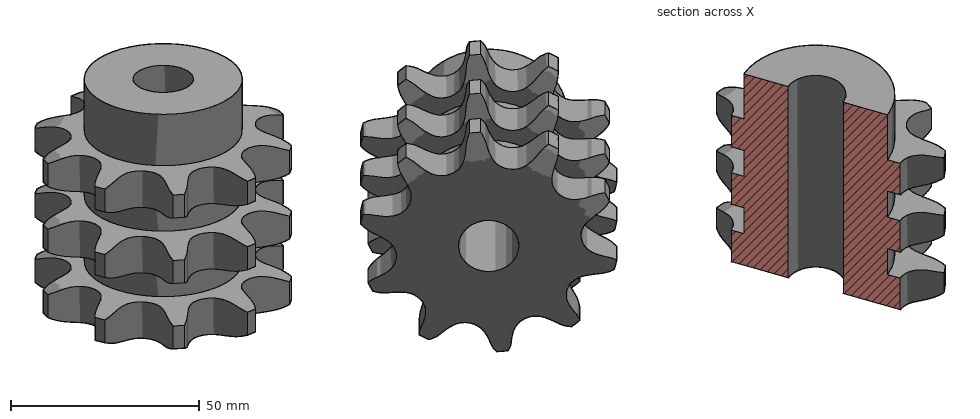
import cadquery as cq
import math

tooth_count = 10
chain_pitch = 19.05
roller_diameter = 12.1
outside_diameter = 69.0

strand_count = 3
strand_spacing = 19.45
strand_thickness = 10.8
hub_diameter = 42.0
hub_length = 65.0
bore_diameter = 16.0

side_round_drop = 2.0
side_round_width = 8.55

outside_radius = outside_diameter / 2
tooth_angle = 360 / tooth_count
pitch_radius = chain_pitch / 2 / math.sin(math.radians(tooth_angle / 2))

seat_clearance = 0.1
seat_radius = roller_diameter / 2 + seat_clearance
seat_angle = math.radians(35 + 60 / tooth_count)
working_angle = math.radians(18 - 56 / tooth_count)
straight_angle = math.radians(17 - 64 / tooth_count)
working_center_distance = 0.8 * roller_diameter
topping_center_distance = 1.4 * roller_diameter
working_radius = working_center_distance + seat_radius
straight_length = (topping_center_distance * math.sin(straight_angle)
                   - working_center_distance * math.sin(working_angle))


def direction(start, end):
    """Return the direction from one point to another, in radians from 0 to a full turn."""
    return math.atan2(end[1] - start[1], end[0] - start[0]) % math.tau


def mirror(point):
    """Return the point mirrored across the Y axis."""
    return (-point[0], point[1])


def offset(point, distance, angle):
    """Return the point at a distance and direction (radians) from another point."""
    return (point[0] + distance * math.cos(angle), point[1] + distance * math.sin(angle))


def gap_flank():
    """Return the points of the +X flank of a gap on the +Y axis, from its bottom to its tooth tip."""
    origin = (0, 0)
    seat_center = (0, pitch_radius)
    bottom = offset(seat_center, seat_radius, -math.pi / 2)
    seat_end = offset(seat_center, seat_radius, -seat_angle)

    working_center = offset(seat_center, working_center_distance, math.pi - seat_angle)
    flank_normal = working_angle - seat_angle
    working_middle = offset(working_center, working_radius, flank_normal - working_angle / 2)
    working_end = offset(working_center, working_radius, flank_normal)

    straight_end = offset(working_end, straight_length, flank_normal + math.pi / 2)

    topping_center = offset(seat_center, topping_center_distance, -math.pi / tooth_count)
    topping_radius = math.dist(topping_center, straight_end)
    center_radius = math.dist(origin, topping_center)
    center_direction = direction(origin, topping_center)
    tip_offset = math.acos((center_radius**2 + outside_radius**2 - topping_radius**2)
                           / (2 * center_radius * outside_radius))
    tip = offset(origin, outside_radius, center_direction + tip_offset)
    middle_direction = (direction(topping_center, straight_end) + direction(topping_center, tip)) / 2
    topping_middle = offset(topping_center, topping_radius, middle_direction)

    return bottom, seat_end, working_middle, working_end, straight_end, topping_middle, tip


def tooth_gap():
    """Return the cutter for one tooth gap, centred on the +Y axis and open outward."""
    bottom, seat_end, working_middle, working_end, straight_end, topping_middle, tip = gap_flank()
    beyond_rim = (tip[0], outside_diameter)
    return (
        cq.Workplane("XY")
        .moveTo(*mirror(tip))
        .threePointArc(mirror(topping_middle), mirror(straight_end))
        .lineTo(*mirror(working_end))
        .threePointArc(mirror(working_middle), mirror(seat_end))
        .threePointArc(bottom, seat_end)
        .threePointArc(working_middle, working_end)
        .lineTo(*straight_end)
        .threePointArc(topping_middle, tip)
        .lineTo(*beyond_rim)
        .lineTo(*mirror(beyond_rim))
        .close()
        .extrude(strand_thickness)
    )


def rounded_disc():
    """Return the strand blank, a disc whose rim tapers on both faces along an arc."""
    round_radius = (side_round_width**2 + side_round_drop**2) / (2 * side_round_drop)
    flat_radius = outside_radius - side_round_width
    half_sweep = math.asin(side_round_width / round_radius) / 2
    arc_radius = flat_radius + round_radius * math.sin(half_sweep)
    arc_drop = round_radius * (1 - math.cos(half_sweep))
    return (
        cq.Workplane("XZ")
        .lineTo(flat_radius, 0)
        .threePointArc((arc_radius, arc_drop), (outside_radius, side_round_drop))
        .lineTo(outside_radius, strand_thickness - side_round_drop)
        .threePointArc((arc_radius, strand_thickness - arc_drop), (flat_radius, strand_thickness))
        .lineTo(0, strand_thickness)
        .close()
        .revolve(360, (0, 0, 0), (0, 1, 0))
    )


def strand():
    """Return one toothed disc resting on the XY plane, with a tooth on the X axis."""
    disc = rounded_disc()
    gap = tooth_gap()
    for index in range(tooth_count):
        disc = disc.cut(gap.rotate((0, 0, 0), (0, 0, 1), index * tooth_angle))
    return disc


result = cq.Workplane("XY").circle(hub_diameter / 2).extrude(hub_length)
toothed_disc = strand()
for index in range(strand_count):
    result = result.union(toothed_disc.translate((0, 0, index * strand_spacing)))

result = result.cut(cq.Workplane("XY").circle(bore_diameter / 2).extrude(hub_length))